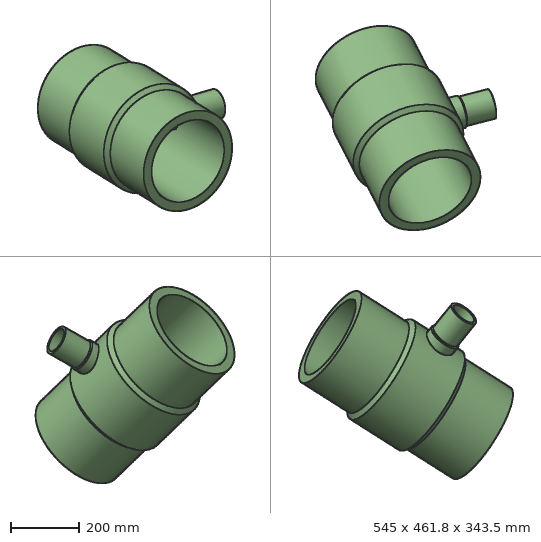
import cadquery as cq

pipe_length = 545.0
pipe_diameter = 315.0
bore_diameter = 258.0

band_diameter = 343.5
band_length = 203.5
band_bevel_length = 13.0

branch_diameter = 90.0
branch_bore_diameter = 73.5
branch_reach = 290.0
socket_diameter = 98.0
socket_reach = 199.5
socket_bevel = (socket_diameter - branch_diameter) / 2


def cylinder_along_x(diameter, length):
    return cq.Workplane("YZ").circle(diameter / 2).extrude(length / 2, both=True)


def cylinder_along_y(diameter, reach):
    """Cylinder from the pipe axis out to the given +Y distance."""
    return cq.Workplane("XZ").circle(diameter / 2).extrude(-reach)


def make_band():
    """Band revolved about X; each bevel drops from the band surface to the pipe surface."""
    half_length = band_length / 2
    flat_half_length = half_length - band_bevel_length
    pipe_radius = pipe_diameter / 2
    band_radius = band_diameter / 2
    profile = [
        (-half_length, 0),
        (-half_length, pipe_radius),
        (-flat_half_length, band_radius),
        (flat_half_length, band_radius),
        (half_length, pipe_radius),
        (half_length, 0),
    ]
    return cq.Workplane("XY").polyline(profile).close().revolve(360, (0, 0, 0), (1, 0, 0))


def make_branch():
    socket = cylinder_along_y(socket_diameter, socket_reach).faces(">Y").chamfer(socket_bevel)
    return socket.union(cylinder_along_y(branch_diameter, branch_reach))


body = cylinder_along_x(pipe_diameter, pipe_length).union(make_band()).union(make_branch())
main_bore = cylinder_along_x(bore_diameter, pipe_length)
branch_bore = cylinder_along_y(branch_bore_diameter, branch_reach)

result = body.cut(main_bore).cut(branch_bore)